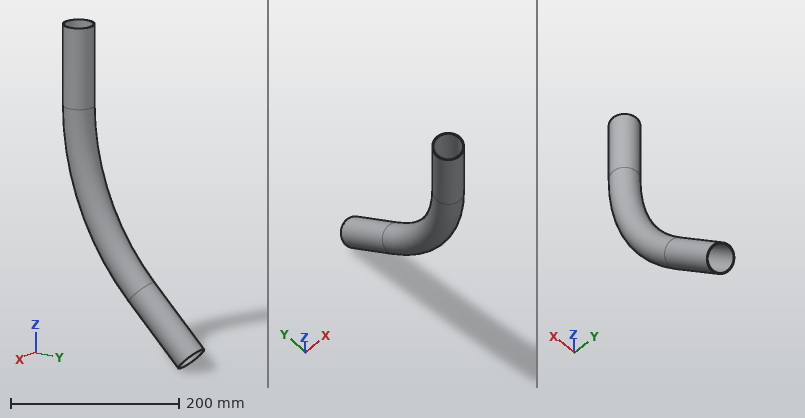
import cadquery as cq
import math

overall_height = 402.5
outer_diameter = 38.2
inner_diameter = 35.0
straight_length = 100.5
bend_angle = 45.0

sin_bend = math.sin(math.radians(bend_angle))
cos_bend = math.cos(math.radians(bend_angle))
tilted_end_drop = outer_diameter / 2 * sin_bend
bend_height = overall_height - straight_length * (1 + cos_bend) - tilted_end_drop
bend_radius = bend_height / sin_bend


def tube_section(plane):
    """Annular tube section, ready to extrude or revolve."""
    return cq.Workplane(plane).circle(outer_diameter / 2).circle(inner_diameter / 2)


upper_leg = tube_section("XY").extrude(straight_length)

bend = tube_section("XY").revolve(bend_angle, (0, bend_radius, 0), (1, bend_radius, 0))

bend_end = (0, bend_radius * (1 - cos_bend), -bend_radius * sin_bend)
lower_leg_plane = cq.Plane(origin=bend_end, xDir=(1, 0, 0), normal=(0, sin_bend, -cos_bend))
lower_leg = tube_section(lower_leg_plane).extrude(straight_length)

result = upper_leg.union(bend).union(lower_leg)